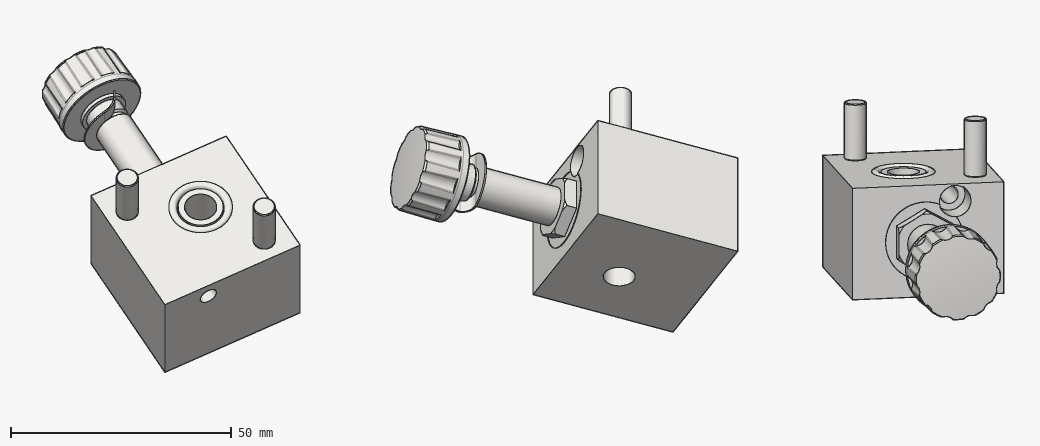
import cadquery as cq
import math

TOTAL_LENGTH = 74.2
BLOCK_SIDE = 35.0
BLOCK_HEIGHT = 26.0
BLOCK_X = TOTAL_LENGTH - BLOCK_SIDE

PIN_RADIUS = 2.5
PIN_HEIGHT = 13.2
PIN_CHAMFER = 0.2
PIN_CENTRES = [(47.2, -12.5), (69.2, 10.9)]

PORT_X = 53.95
PORT_Y = 2.8
PORT_RADIUS = 3.6
BEAD_MEAN_RADIUS = 6.4
BEAD_SECTION_RADIUS = 1.05
BEAD_STAND_PROUD = 0.45
GROOVE_INNER_RADIUS = 5.1
GROOVE_OUTER_RADIUS = 7.1
GROOVE_DEPTH = 1.4

BOLT_Y = -6.2
BOLT_Z = 22.0
BOLT_RADIUS = 2.1
COUNTERBORE_RADIUS = 3.6
COUNTERBORE_DEPTH = 7.0

AXIS_Y = 0.8
AXIS_Z = BLOCK_HEIGHT / 2
SPOT_FACE_RADIUS = 9.05
SPOT_FACE_DEPTH = 0.185

HEX_ACROSS_FLATS = 13.0
HEX_HEIGHT = 2.8
HEX_X = BLOCK_X - HEX_HEIGHT
HEX_LENGTH = HEX_HEIGHT + SPOT_FACE_DEPTH
HEX_CORNER_DIAMETER = HEX_ACROSS_FLATS / math.cos(math.pi / 6)
HEX_CHAMFER = 0.6
SHAFT_RADIUS = 4.5
NECK_START_X = 15.0
NECK_END_X = 16.6
NECK_DEPTH = 0.6
NECK_TAPER = 0.45

KNOB_RADIUS = 10.1
KNOB_FACE_RADIUS = 9.9
KNOB_DOME = 0.3
KNOB_BEVEL_LENGTH = 0.5
KNOB_BEVEL_DEPTH = 0.2
KNOB_LENGTH = 11.05
KNOB_CHAMFER = 0.2
RIM_X = 9.35
FLUTE_END_X = 8.8
FLUTE_COUNT = 12
FLUTE_RADIUS = 2.2
FLUTE_DEPTH = 0.8
FLUTE_EDGE_RADIUS = 0.4
COLLAR_RADIUS = 5.6
COLLAR_END_X = 11.95

CLIP_RADIUS = 7.4
CLIP_THICKNESS = 0.4
CLIP_X = 16.4
CLIP_BEND_RADIUS = 4.6
CLIP_BEND_ANGLE = 61.0
CLIP_BEND_Y = -2.4
CLIP_TIP_WIDTH = 11.0


def cylinder_x(x, y, z, radius, length):
    """Cylinder that starts at the given point and runs along +X."""
    return cq.Workplane("YZ", origin=(x, y, z)).circle(radius).extrude(length)


def make_seal_bead():
    """Ring of round section, partly sunk into the block around the port."""
    section_z = BLOCK_HEIGHT + BEAD_STAND_PROUD - BEAD_SECTION_RADIUS
    return (
        cq.Workplane("XZ", origin=(PORT_X, PORT_Y, section_z))
        .center(BEAD_MEAN_RADIUS, 0)
        .circle(BEAD_SECTION_RADIUS)
        .revolve(360, (-BEAD_MEAN_RADIUS, 0), (-BEAD_MEAN_RADIUS, 1))
    )


def make_block():
    block = cq.Workplane("XY", origin=(BLOCK_X + BLOCK_SIDE / 2, 0, 0)).box(
        BLOCK_SIDE, BLOCK_SIDE, BLOCK_HEIGHT, centered=(True, True, False)
    )
    port = cq.Workplane("XY", origin=(PORT_X, PORT_Y, 0)).circle(PORT_RADIUS).extrude(BLOCK_HEIGHT)
    groove = (
        cq.Workplane("XY", origin=(PORT_X, PORT_Y, BLOCK_HEIGHT))
        .circle(GROOVE_OUTER_RADIUS)
        .circle(GROOVE_INNER_RADIUS)
        .extrude(-GROOVE_DEPTH)
    )
    bolt_hole = cylinder_x(BLOCK_X, BOLT_Y, BOLT_Z, BOLT_RADIUS, BLOCK_SIDE)
    counterbore = cylinder_x(BLOCK_X, BOLT_Y, BOLT_Z, COUNTERBORE_RADIUS, COUNTERBORE_DEPTH)
    spot_face = cylinder_x(BLOCK_X, AXIS_Y, AXIS_Z, SPOT_FACE_RADIUS, SPOT_FACE_DEPTH)
    block = block.cut(port).cut(groove).cut(bolt_hole).cut(counterbore).cut(spot_face)
    return block.union(make_seal_bead())


def make_pin(x, y):
    pin = cq.Workplane("XY", origin=(x, y, BLOCK_HEIGHT)).circle(PIN_RADIUS).extrude(PIN_HEIGHT)
    return pin.faces("<Z or >Z").chamfer(PIN_CHAMFER)


def make_turned_profile():
    """Knob, collar and shaft turned about the valve axis."""
    neck_radius = SHAFT_RADIUS - NECK_DEPTH
    dome_radius = KNOB_FACE_RADIUS - KNOB_BEVEL_DEPTH
    return (
        cq.Workplane("XY", origin=(0, AXIS_Y, AXIS_Z))
        .moveTo(0, 0)
        .threePointArc((KNOB_DOME / 4, dome_radius / 2), (KNOB_DOME, dome_radius))
        .lineTo(KNOB_DOME + KNOB_BEVEL_LENGTH, KNOB_FACE_RADIUS)
        .lineTo(RIM_X, KNOB_RADIUS)
        .lineTo(KNOB_LENGTH - KNOB_CHAMFER, KNOB_RADIUS)
        .lineTo(KNOB_LENGTH, KNOB_RADIUS - KNOB_CHAMFER)
        .lineTo(KNOB_LENGTH, COLLAR_RADIUS)
        .lineTo(COLLAR_END_X, COLLAR_RADIUS)
        .lineTo(COLLAR_END_X, SHAFT_RADIUS)
        .lineTo(NECK_START_X, SHAFT_RADIUS)
        .lineTo(NECK_START_X + NECK_TAPER, neck_radius)
        .lineTo(NECK_END_X - NECK_TAPER, neck_radius)
        .lineTo(NECK_END_X, SHAFT_RADIUS)
        .lineTo(HEX_X, SHAFT_RADIUS)
        .lineTo(HEX_X, 0)
        .close()
        .revolve(360, (0, 0), (1, 0))
    )


def make_hexagon():
    """Hexagon with corners up and down and its knob side chamfered."""
    hexagon = (
        cq.Workplane("YZ", origin=(HEX_X, AXIS_Y, AXIS_Z))
        .transformed(rotate=(0, 0, 90))
        .polygon(6, HEX_CORNER_DIAMETER)
        .extrude(HEX_LENGTH)
    )
    chamfer_envelope = (
        cylinder_x(HEX_X, AXIS_Y, AXIS_Z, HEX_CORNER_DIAMETER / 2, HEX_LENGTH)
        .faces("<X")
        .chamfer(HEX_CHAMFER)
    )
    return hexagon.intersect(chamfer_envelope)


def cut_flutes(knob):
    """Scallop the grip of the knob, leaving its rim whole."""
    flute_offset = KNOB_RADIUS - FLUTE_DEPTH + FLUTE_RADIUS
    for index in range(FLUTE_COUNT):
        angle = 2 * math.pi * (index + 0.5) / FLUTE_COUNT
        y = AXIS_Y + flute_offset * math.cos(angle)
        z = AXIS_Z + flute_offset * math.sin(angle)
        knob = knob.cut(cylinder_x(0, y, z, FLUTE_RADIUS, FLUTE_END_X))
    flute_edges = knob.edges("%BSPLINE").filter(lambda edge: edge.Length() > FLUTE_END_X / 2)
    return flute_edges.fillet(FLUTE_EDGE_RADIUS)


def make_clip():
    """Leaf spring ring with a tapered tongue bent over to the knob."""
    bend = math.radians(CLIP_BEND_ANGLE)
    bend_centre_x = CLIP_X - CLIP_BEND_RADIUS
    inner_radius = CLIP_BEND_RADIUS - CLIP_THICKNESS

    def bend_point(radius, angle):
        return (bend_centre_x + radius * math.cos(angle), CLIP_BEND_Y + radius * math.sin(angle))

    def tongue_tip(radius):
        x, y = bend_point(radius, bend)
        return (KNOB_LENGTH, y + (x - KNOB_LENGTH) / math.tan(bend))

    strip = (
        cq.Workplane("XY", origin=(0, AXIS_Y, AXIS_Z))
        .moveTo(CLIP_X, -CLIP_RADIUS)
        .lineTo(*bend_point(CLIP_BEND_RADIUS, 0))
        .threePointArc(bend_point(CLIP_BEND_RADIUS, bend / 2), bend_point(CLIP_BEND_RADIUS, bend))
        .lineTo(*tongue_tip(CLIP_BEND_RADIUS))
        .lineTo(*tongue_tip(inner_radius))
        .lineTo(*bend_point(inner_radius, bend))
        .threePointArc(bend_point(inner_radius, bend / 2), bend_point(inner_radius, 0))
        .lineTo(CLIP_X - CLIP_THICKNESS, -CLIP_RADIUS)
        .close()
        .extrude(CLIP_RADIUS, both=True)
    )
    outline = cylinder_x(KNOB_LENGTH, AXIS_Y, AXIS_Z, CLIP_RADIUS, CLIP_X - KNOB_LENGTH)
    taper_end_x = bend_point(CLIP_BEND_RADIUS, bend)[0]
    taper = (
        cq.Workplane("XZ", origin=(0, AXIS_Y, AXIS_Z))
        .moveTo(KNOB_LENGTH, CLIP_TIP_WIDTH / 2)
        .lineTo(taper_end_x, CLIP_RADIUS)
        .lineTo(CLIP_X, CLIP_RADIUS)
        .lineTo(CLIP_X, -CLIP_RADIUS)
        .lineTo(taper_end_x, -CLIP_RADIUS)
        .lineTo(KNOB_LENGTH, -CLIP_TIP_WIDTH / 2)
        .close()
        .extrude(CLIP_RADIUS, both=True)
    )
    return strip.intersect(outline).intersect(taper)


def make_valve():
    return cut_flutes(make_turned_profile()).union(make_hexagon()).union(make_clip())


block = make_block()
valve = make_valve()
pins = [make_pin(x, y) for x, y in PIN_CENTRES]

result = cq.Compound.makeCompound([block.val(), valve.val(), *[pin.val() for pin in pins]])